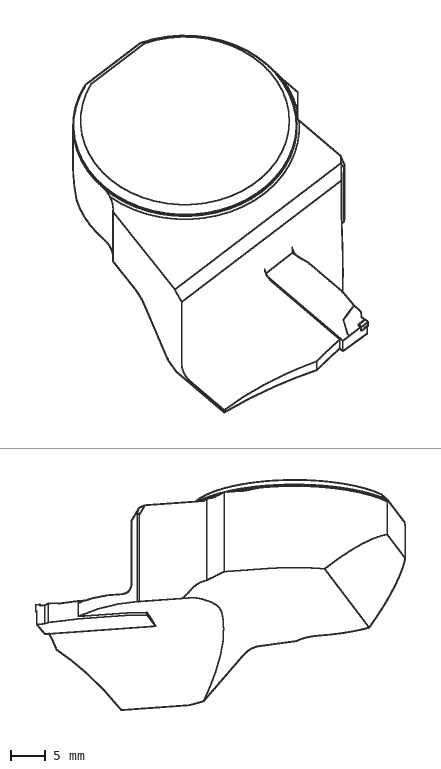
import cadquery as cq
import math


OVERALL_LENGTH = 53.1

SHANK_RADIUS = 16.1
CAP_RADIUS = 16.0
FLAT_X = -15.05
SHANK_TOP = 12.3
CAP_TOP = 13.6
CAP_CHAMFER = 1.0
LEAD_IN = 7.3

HEAD_TOP = 12.0
HEAD_FRONT_Y = -21.0
HEAD_BACK_Y = 12.75
WALL_X = 21.5
WALL_CHAMFER = 1.5
NECK_RADIUS = 5.05
NECK_END_X = 3.8
FRONT_CORNER_X = 20.35
TAB_END_X = 6.6
UNDERSIDE_STEP_X = 11.0
UNDERSIDE_FILLET = 3.45
SKIRT_WIDTH = 0.3
BACK_CORNER = (19.85, HEAD_BACK_Y)
BACK_CORNER_SIDE_Y = 12.15
CORNER_CUT_START = (19.0, HEAD_BACK_Y)
CORNER_CUT_END = (20.0, 11.9)
CORNER_CUT_SLOPE = 0.4

BLADE_FRONT_X = 30.35
BLADE_END_X = 37.15
BLADE_END_Y = -9.15
BACK_ARC_START = (20.3, 11.7)
BACK_ARC_MIDDLE = (24.9, 7.6)
BACK_ARC_END = (31.55, 1.35)
BLADE_BACK_Y = -0.15
BLADE_TOP_RADIUS = 27.75
BLADE_TOP_AXIS_Y = -0.75
BLADE_TOP_APEX = 1.85
BLADE_BOTTOM_RADIUS = 35.35
BLADE_BOTTOM_AXIS_Y = 0.4
BLADE_BOTTOM_APEX = -0.25
WALL_FILLET = 1.6

INSERT_FRONT_Y = -4.55
INSERT_FRONT_TOP = 1.9
INSERT_BACK_TOP = 2.05
INSERT_BOTTOM = -0.65
INSERT_FRONT_X = 37.8
TIP_X = FLAT_X + OVERALL_LENGTH
FLANK_BACK_X = 37.9
TIP_Y = 0.15
BACK_STEP = [(36.7, TIP_Y), (36.05, 0.7)]
BAR_BACK_BEND_X = 24.4
FORMER_LEFT_X = 34.4
FORMER_RIDGE_X = 35.5
FORMER_CORNER = (35.2, -2.0)
FORMER_FRONT = (37.45, -3.3)
FORMER_FRONT_TOP = 1.95
FORMER_BACK_Y = 0.85
FORMER_TOP = 2.25
NOSE_FRONT_Y = -1.15
NOSE_LEFT_X = 37.45
NOSE_BOTTOM = 1.4
NOSE_TOP = 2.35

CLEARANCE = 5.3
LOWEST = -10.6
HIGHEST = CAP_TOP + CLEARANCE


def extrude_along_x(profile, start_x, end_x):
    """Extrude a closed (y, z) sketch, drawn on the YZ plane, between two X positions."""
    return profile.extrude(end_x - start_x).translate((start_x, 0, 0))


def beyond_flat():
    """Space on the -X side of the shank flat."""
    span = OVERALL_LENGTH
    block = cq.Workplane("XY").box(CLEARANCE, span, span)
    return block.translate((FLAT_X - CLEARANCE / 2, 0, 0))


def plan_prism():
    """Prism over the outline of shank, head and blade seen along Z."""
    neck_centre_y = -SHANK_RADIUS - NECK_RADIUS
    neck_angle = math.asin(NECK_END_X / NECK_RADIUS)
    neck_middle = (
        NECK_RADIUS * math.sin(neck_angle / 2),
        neck_centre_y + NECK_RADIUS * math.cos(neck_angle / 2),
    )
    neck_end = (NECK_END_X, neck_centre_y + NECK_RADIUS * math.cos(neck_angle))
    tab_drop = SHANK_RADIUS - HEAD_BACK_Y
    return (
        cq.Workplane("XY", origin=(0, 0, LOWEST))
        .moveTo(0, SHANK_RADIUS)
        .threePointArc((-SHANK_RADIUS, 0), (0, -SHANK_RADIUS))
        .threePointArc(neck_middle, neck_end)
        .lineTo(FRONT_CORNER_X, HEAD_FRONT_Y)
        .lineTo(BLADE_FRONT_X, HEAD_FRONT_Y)
        .lineTo(BLADE_END_X, BLADE_END_Y)
        .lineTo(BLADE_END_X, BLADE_BACK_Y)
        .lineTo(*BACK_ARC_END)
        .threePointArc(BACK_ARC_MIDDLE, BACK_ARC_START)
        .lineTo(BACK_ARC_START[0], BACK_CORNER_SIDE_Y)
        .lineTo(*BACK_CORNER)
        .lineTo(TAB_END_X + tab_drop, HEAD_BACK_Y)
        .lineTo(TAB_END_X, SHANK_RADIUS)
        .close()
        .extrude(HEAD_TOP - LOWEST)
    )


def side_prism():
    """Prism along Y with the lead-in, the stepped underside and the wall chamfer."""
    far_x = TIP_X + CLEARANCE
    return (
        cq.Workplane("XZ")
        .moveTo(FLAT_X, HEAD_TOP)
        .lineTo(FLAT_X, LEAD_IN)
        .lineTo(FLAT_X + LEAD_IN, 0)
        .lineTo(UNDERSIDE_STEP_X, 0)
        .lineTo(UNDERSIDE_STEP_X - LOWEST, LOWEST)
        .lineTo(far_x, LOWEST)
        .lineTo(far_x, HEAD_TOP - WALL_CHAMFER)
        .lineTo(WALL_X, HEAD_TOP - WALL_CHAMFER)
        .lineTo(WALL_X - WALL_CHAMFER, HEAD_TOP)
        .close()
        .extrude(OVERALL_LENGTH, both=True)
        .edges(cq.NearestToPointSelector((UNDERSIDE_STEP_X, 0, 0)))
        .fillet(UNDERSIDE_FILLET)
    )


def corner_cut():
    """Space outside a steep plane that trims the top of the back corner of the head."""
    run_x = CORNER_CUT_END[0] - CORNER_CUT_START[0]
    run_y = CORNER_CUT_END[1] - CORNER_CUT_START[1]
    plane = cq.Plane(
        origin=(*CORNER_CUT_START, HEAD_TOP),
        xDir=(run_x, run_y, 0),
        normal=(-run_y, run_x, CORNER_CUT_SLOPE * math.hypot(run_x, run_y)),
    )
    return cq.Workplane(plane).rect(CLEARANCE, CLEARANCE).extrude(CLEARANCE)


def cap():
    """Chamfered disc on top of the shank, with the rim of the shank below it."""
    rim = cq.Workplane("XY", origin=(0, 0, HEAD_TOP)).circle(SHANK_RADIUS).extrude(SHANK_TOP - HEAD_TOP)
    disc = (
        cq.Workplane("XY", origin=(0, 0, SHANK_TOP))
        .circle(CAP_RADIUS)
        .extrude(CAP_TOP - SHANK_TOP)
        .faces(">Z")
        .chamfer(CAP_CHAMFER)
    )
    bevel = (
        cq.Workplane("XZ")
        .moveTo(FLAT_X, CAP_TOP - CAP_CHAMFER)
        .lineTo(FLAT_X + CAP_CHAMFER, CAP_TOP)
        .lineTo(FLAT_X, CAP_TOP)
        .close()
        .extrude(SHANK_RADIUS, both=True)
    )
    return rim.union(disc).cut(beyond_flat()).cut(bevel)


def skirt(outline):
    """Sloping band between the shank rim and the top of the head, kept inside the outline."""
    cone = (
        cq.Workplane("XZ")
        .moveTo(0, HEAD_TOP)
        .lineTo(SHANK_RADIUS + SKIRT_WIDTH, HEAD_TOP)
        .lineTo(SHANK_RADIUS, SHANK_TOP)
        .lineTo(0, SHANK_TOP)
        .close()
        .revolve(360, (0, 0), (0, 1))
    )
    return cone.intersect(outline.translate((0, 0, CLEARANCE))).cut(beyond_flat())


def space_above_blade():
    """Space over the arched top of the blade, rounded where it meets the wall of the head."""
    axis_z = BLADE_TOP_APEX - BLADE_TOP_RADIUS
    left_y = BLADE_TOP_AXIS_Y - BLADE_TOP_RADIUS
    right_y = BLADE_TOP_AXIS_Y + BLADE_TOP_RADIUS
    profile = (
        cq.Workplane("YZ")
        .moveTo(left_y, axis_z)
        .threePointArc((BLADE_TOP_AXIS_Y, BLADE_TOP_APEX), (right_y, axis_z))
        .lineTo(right_y, HIGHEST)
        .lineTo(left_y, HIGHEST)
        .close()
    )
    space = extrude_along_x(profile, WALL_X, TIP_X + CLEARANCE)
    return space.faces("<X").edges("%CIRCLE").fillet(WALL_FILLET)


def space_below_blade():
    """Cylinder along X that hollows the underside of the head and blade."""
    axis_z = BLADE_BOTTOM_APEX - BLADE_BOTTOM_RADIUS
    profile = cq.Workplane("YZ").center(BLADE_BOTTOM_AXIS_Y, axis_z).circle(BLADE_BOTTOM_RADIUS)
    return extrude_along_x(profile, FLAT_X - CLEARANCE, TIP_X + CLEARANCE)


def insert_outline():
    """Outline of the insert seen along Z, as a sketch on its bottom plane."""
    return (
        cq.Workplane("XY", origin=(0, 0, INSERT_BOTTOM))
        .moveTo(WALL_X, INSERT_FRONT_Y)
        .lineTo(INSERT_FRONT_X, INSERT_FRONT_Y)
        .lineTo(FLANK_BACK_X, TIP_Y)
        .lineTo(*BACK_STEP[0])
        .lineTo(*BACK_STEP[1])
        .lineTo(FORMER_LEFT_X, FORMER_BACK_Y)
        .lineTo(*BACK_ARC_END)
        .lineTo(BAR_BACK_BEND_X, BACK_ARC_END[1])
        .lineTo(WALL_X, FORMER_BACK_Y)
        .close()
    )


def chip_former(outline):
    """Raised wedge at the tip of the insert, rising to the back and ramped on its -X side."""
    slope = (
        cq.Workplane("YZ")
        .moveTo(FORMER_FRONT[1], INSERT_BOTTOM)
        .lineTo(FORMER_FRONT[1], FORMER_FRONT_TOP)
        .lineTo(FORMER_BACK_Y, FORMER_TOP)
        .lineTo(FORMER_BACK_Y, INSERT_BOTTOM)
        .close()
    )
    ramp = (
        cq.Workplane("XZ")
        .moveTo(FORMER_LEFT_X, INSERT_BOTTOM)
        .lineTo(FORMER_LEFT_X, INSERT_BACK_TOP)
        .lineTo(FORMER_RIDGE_X, FORMER_TOP)
        .lineTo(TIP_X, FORMER_TOP)
        .lineTo(TIP_X, INSERT_BOTTOM)
        .close()
        .extrude(CLEARANCE, both=True)
    )
    pad = (
        cq.Workplane("XY", origin=(0, 0, INSERT_BOTTOM))
        .moveTo(FORMER_LEFT_X, FORMER_BACK_Y)
        .lineTo(*FORMER_CORNER)
        .lineTo(*FORMER_FRONT)
        .lineTo(TIP_X, FORMER_FRONT[1])
        .lineTo(TIP_X, FORMER_BACK_Y)
        .close()
        .extrude(HIGHEST)
    )
    wedge = extrude_along_x(slope, WALL_X, TIP_X)
    return wedge.intersect(ramp).intersect(pad).intersect(outline)


def cutting_nose():
    """Small raised block at the cutting corner, standing out past the flank below it."""
    length = TIP_X - NOSE_LEFT_X
    width = TIP_Y - NOSE_FRONT_Y
    height = NOSE_TOP - NOSE_BOTTOM
    block = cq.Workplane("XY").box(length, width, height, centered=False)
    return block.translate((NOSE_LEFT_X, NOSE_FRONT_Y, NOSE_BOTTOM))


def make_insert():
    """Bar with a slightly sloping top, carrying the chip former and the cutting nose."""
    outline = insert_outline().extrude(HIGHEST)
    section = (
        cq.Workplane("YZ")
        .moveTo(INSERT_FRONT_Y, INSERT_BOTTOM)
        .lineTo(INSERT_FRONT_Y, INSERT_FRONT_TOP)
        .lineTo(BACK_ARC_END[1], INSERT_BACK_TOP)
        .lineTo(BACK_ARC_END[1], INSERT_BOTTOM)
        .close()
    )
    bar = extrude_along_x(section, WALL_X, TIP_X).intersect(outline)
    return bar.union(chip_former(outline)).union(cutting_nose())


def make_holder():
    """Shank, head and blade in one piece, with a seat cut through the blade for the insert."""
    outline = plan_prism()
    body = outline.intersect(side_prism())
    body = body.cut(space_below_blade()).cut(space_above_blade()).cut(corner_cut())
    body = body.union(cap()).union(skirt(outline))
    return body.cut(insert_outline().extrude(HIGHEST))


holder = make_holder()
insert = make_insert()

result = cq.Compound.makeCompound([*holder.solids().vals(), *insert.solids().vals()])